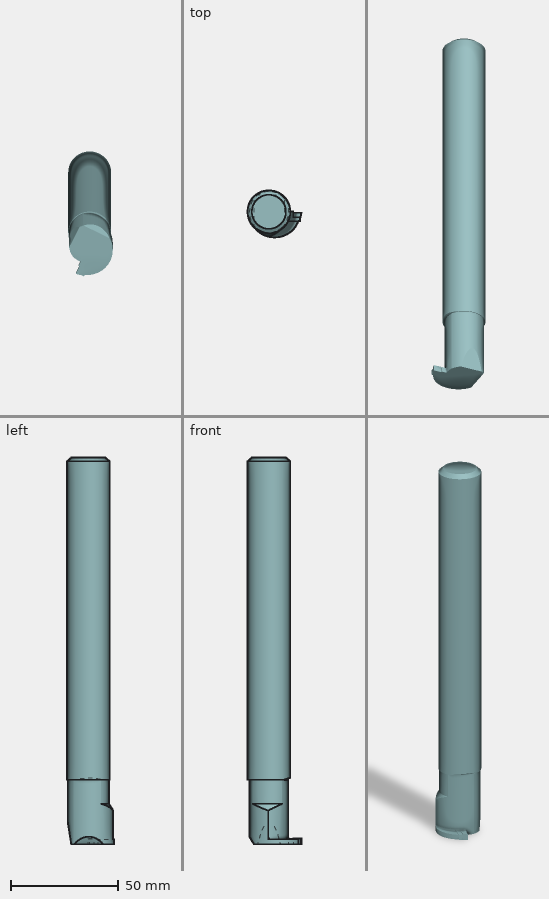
import cadquery as cq

total_length = 180.0
shank_radius = 9.99
shank_bottom = 30.0
end_chamfer_width = 2.07
end_chamfer_height = 1.8
corner_cut_width = 2.9
corner_cut_height = 0.9

neck_radius = 9.63
neck_bottom = 18.9
head_radius = 11.79
head_center = (2.7, -0.2)
relief_radius = 12.69
relief_center = (-3.6, 0.7)
cone_drop = 3.2
cone_spread = 2.0

side_bevel_width = 2.2
side_bevel_height = 3.6
back_bevel_width = 1.6
back_bevel_height = 10.5

ledge_inner_x = -1.8
ledge_height = 2.3
ledge_fillet = 0.7
nose_back = 0.2
pad_front = -4.3
pad_inner_x = 7.2
pad_outer_x = 14.5
pad_height = 2.5

tip_inner_x = 11.3
tip_outer_x = 15.21
tip_back = -0.4
tip_front = -2.5
tip_flank_taper = 0.45
tip_height = 2.9


def cylinder(radius, bottom, top, center=(0, 0)):
    return cq.Workplane("XY").workplane(offset=bottom).center(*center).circle(radius).extrude(top - bottom)


def box_between(x_range, y_range, z_range):
    size = (x_range[1] - x_range[0], y_range[1] - y_range[0], z_range[1] - z_range[0])
    return cq.Workplane("XY").box(*size, centered=False).translate((x_range[0], y_range[0], z_range[0]))


def wedge(plane, points):
    """Long triangular prism, extruded both ways from a plane through the Z axis."""
    return cq.Workplane(plane).polyline(points).close().extrude(total_length, both=True)


def make_shank():
    top_radius = shank_radius - end_chamfer_width
    shoulder = total_length - end_chamfer_height
    profile = [
        (0, shank_bottom),
        (shank_radius, shank_bottom),
        (shank_radius, shoulder),
        (top_radius, total_length),
        (0, total_length),
    ]
    shank = cq.Workplane("XZ").polyline(profile).close().revolve(360, (0, 0), (0, 1))
    corner = wedge("XZ", [
        (shank_radius - corner_cut_width, shank_bottom),
        (shank_radius, shank_bottom),
        (shank_radius, shank_bottom + corner_cut_height),
    ])
    return shank.cut(corner)


def make_head_envelope():
    """Neck that widens through a cone into the front of the head."""
    cone_bottom = neck_bottom - cone_drop
    widest = neck_radius + cone_spread
    profile = [
        (0, cone_bottom),
        (widest, cone_bottom),
        (neck_radius, neck_bottom),
        (0, neck_bottom),
    ]
    cone = cq.Workplane("XZ").polyline(profile).close().revolve(360, (0, 0), (0, 1))
    reach = 2 * head_radius
    front_half = box_between((-reach, reach), (-reach, 0), (0, neck_bottom))
    lower_front = box_between((-reach, reach), (-reach, 0), (0, cone_bottom))
    neck = cylinder(neck_radius, 0, shank_bottom)
    return neck.union(cone.intersect(front_half)).union(lower_front)


def make_column():
    """Tall part of the head, between the head arc and the relief arc."""
    column = cylinder(head_radius, 0, shank_bottom, head_center)
    column = column.intersect(cylinder(relief_radius, 0, shank_bottom, relief_center))
    return column.intersect(make_head_envelope())


def make_ledge():
    """Low crescent under the relief wall, with the tip pad at its end."""
    reach = 2 * head_radius
    ledge = cylinder(head_radius, 0, ledge_height, head_center)
    ledge = ledge.intersect(box_between((ledge_inner_x, reach), (-reach, nose_back), (0, ledge_height)))
    pad = box_between((pad_inner_x, pad_outer_x), (pad_front, nose_back), (0, pad_height))
    return ledge.union(pad)


def make_wall_fillet():
    """Concave fillet between the ledge and the relief wall."""
    ring = (
        cq.Workplane("XZ")
        .moveTo(relief_radius - ledge_fillet, ledge_height)
        .lineTo(relief_radius + ledge_fillet, ledge_height)
        .radiusArc((relief_radius, ledge_height + ledge_fillet), ledge_fillet)
        .lineTo(relief_radius - ledge_fillet, ledge_height + ledge_fillet)
        .close()
        .revolve(360, (0, 0), (0, 1))
        .translate((*relief_center, 0))
    )
    reach = 2 * head_radius
    front = box_between((0, reach), (-reach, nose_back), (0, neck_bottom))
    return ring.intersect(front).intersect(cylinder(head_radius, 0, neck_bottom, head_center))


def cut_bottom_bevels(body):
    left = head_center[0] - head_radius
    side_bevel = wedge("XZ", [(left, 0), (left + side_bevel_width, 0), (left, side_bevel_height)])
    back_bevel = wedge("YZ", [
        (neck_radius, 0),
        (neck_radius - back_bevel_width, 0),
        (neck_radius, back_bevel_height),
    ])
    return body.cut(side_bevel).cut(back_bevel)


def make_tip():
    outline = [
        (tip_inner_x, tip_back),
        (tip_outer_x, tip_back),
        (tip_outer_x - tip_flank_taper, tip_front),
        (tip_inner_x, tip_front),
    ]
    return cq.Workplane("XY").polyline(outline).close().extrude(tip_height)


def make_holder(tip):
    head = make_column().union(make_ledge()).union(make_wall_fillet())
    holder = make_shank().union(cut_bottom_bevels(head))
    pocket = box_between((tip_inner_x, tip_outer_x), (tip_back, nose_back), (0, tip_height))
    return holder.cut(pocket).cut(tip)


cutting_tip = make_tip()
holder = make_holder(cutting_tip)

result = cq.Compound.makeCompound([holder.solids().val(), cutting_tip.val()])